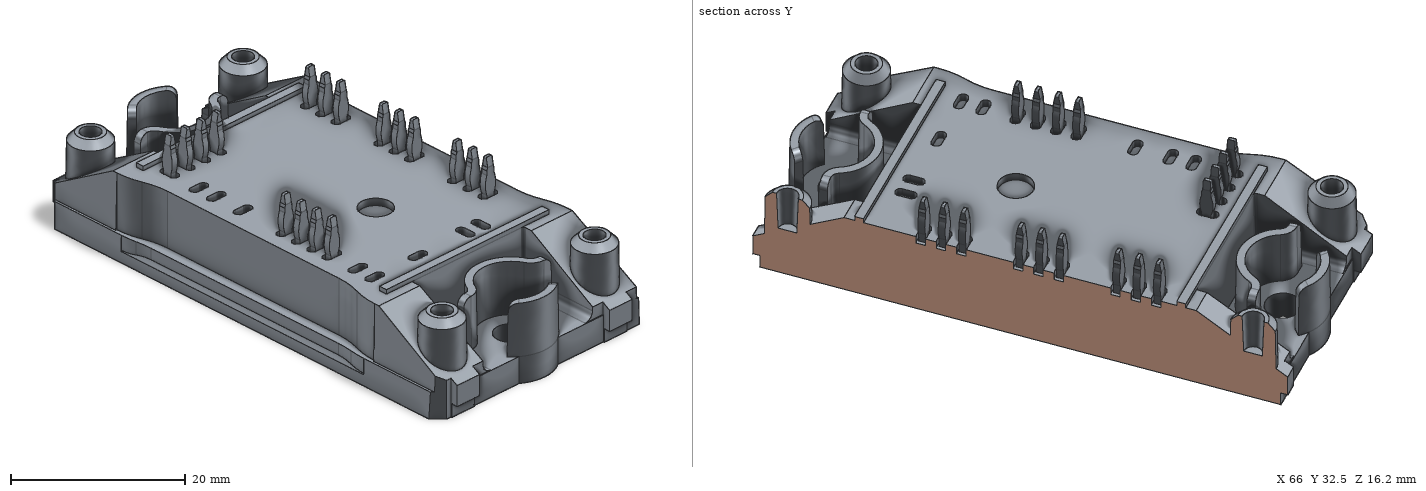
import cadquery as cq
import math

LENGTH = 66.0
WIDTH = 32.5
BASE_HEIGHT = 3.55
BODY_HEIGHT = 11.1
PIN_TIP_HEIGHT = 16.25
CLEAR = 3.3

END_X = 32.0
BASE_TOP_HALF_WIDTH = 16.1
STEP_HALF_WIDTH = 15.8
TOP_HALF_WIDTH = 15.6
CORNER_CHAMFER = 1.45

SLOPE_START_X = 21.7
SLOPE_ANGLE = 30.0
SLOPE_DROP = math.tan(math.radians(SLOPE_ANGLE))

WAIST_END_X = 21.05
WAIST_START_X = 14.0
WAIST_HALF_WIDTH = 14.4
LEDGE_END_X = 19.8
LEDGE_START_X = 15.3
LEDGE_HALF_WIDTH = STEP_HALF_WIDTH
LEDGE_INNER_Z = 2.05
LEDGE_OUTER_Z = 1.4

TAB_Y = 12.3
TAB_WIDTH = 3.6
TAB_BOTTOM_Z = 1.8
TAB_FOOT_PROJECTION = 0.1

BAY_FLOOR_HALF_WIDTH = 8.8
BAY_TOP_HALF_WIDTH = 9.0
BAY_FILLET = 1.2
BAY_SETBACK = 0.1

SLOT_CORNER_RADIUS = 0.3
SLOT_FLOOR_SIDE_TOP_X = 21.85
SLOT_FLOOR_SIDE_BOTTOM_X = 21.6
INNER_WALL_BOTTOM_X = 20.8

MOUNT_X = 27.5
MOUNT_HOLE_DIAMETER = 4.3
PAD_RADIUS = LENGTH / 2 - MOUNT_X

GUARD_THICKNESS = 1.25
GUARD_MEAN_RADIUS = PAD_RADIUS - GUARD_THICKNESS / 2
GUARD_TOP = 10.55
GUARD_DRAFT = 1.0
GUARD_CORNER_RADIUS = 1.2
OUTER_GUARD_HALF_ANGLE = 49.5
TAIL_X = 1.1
TAIL_END_Y = 7.1
TAIL_BEND_RADIUS = 1.65

BOSS_X = 28.7
BOSS_Y = 12.3
BOSS_ROOT_RADIUS = 2.9
BOSS_SHOULDER_RADIUS = 2.8
BOSS_TOP_RADIUS = 1.85
BOSS_TOP = 12.1
BOSS_HOLE_DEPTH = 5.3
BOSS_HOLE_TOP_RADIUS = 1.3
BOSS_HOLE_BOTTOM_RADIUS = 1.1

BAR_X = 19.85
BAR_WIDTH = 1.1
BAR_LENGTH = 26.15
BAR_HEIGHT = 0.6
INNER_WALL_TOP_X = BAR_X + BAR_WIDTH / 2

RECESS_X = 5.4
RECESS_DIAMETER = 4.3
RECESS_DEPTH = 1.0

PITCH = 2.5
POCKET_LENGTH = 2.65
POCKET_WIDTH = 1.25
POCKET_DEPTH = 1.0
PIN_COLUMN_X = -16.75
TOP_ROW_Y = 11.3
BOTTOM_ROW_Y = -11.2
PIN_THICKNESS = 0.85
PIN_ROOT_DEPTH = 0.65
PIN_STEM_WIDTH = 1.2
PIN_BULGE_WIDTH = 1.65
PIN_SHOULDER_WIDTH = 0.9
PIN_TIP_RADIUS = 0.2
PIN_TIP_THICKNESS = 0.4
PIN_BULGE_BOTTOM = 11.35
PIN_BULGE_TOP = 14.0
PIN_NECK_Z = 14.6
PIN_SHOULDER_Z = 15.0


def mirrored_pair(solid):
    """The solid together with its mirror image at the other end of the part."""
    return solid.union(solid.mirror("YZ"))


def waist_tool(start_x, end_x, inner_y, outer_y, bottom_z):
    """Cutter for a waisted +Y side; each end is an S-curve of two equal tangent arcs."""
    mid_x = (start_x + end_x) / 2
    mid_y = (inner_y + outer_y) / 2
    run = end_x - mid_x
    rise = outer_y - mid_y
    radius = (run**2 + rise**2) / (2 * rise)
    far_y = WIDTH / 2 + CLEAR
    return (
        cq.Workplane("XY", origin=(0, 0, bottom_z))
        .moveTo(-end_x, far_y)
        .lineTo(-end_x, outer_y)
        .radiusArc((-mid_x, mid_y), radius)
        .radiusArc((-start_x, inner_y), -radius)
        .lineTo(start_x, inner_y)
        .radiusArc((mid_x, mid_y), -radius)
        .radiusArc((end_x, outer_y), radius)
        .lineTo(end_x, far_y)
        .close()
        .extrude(BODY_HEIGHT + CLEAR - bottom_z)
    )


def make_block():
    """Drafted block with a stepped side wall and chamfered -Y corners."""
    half_section = [
        (WIDTH / 2, 0),
        (BASE_TOP_HALF_WIDTH, BASE_HEIGHT),
        (STEP_HALF_WIDTH, BASE_HEIGHT),
        (TOP_HALF_WIDTH, BODY_HEIGHT),
    ]
    other_half = [(-y, z) for y, z in reversed(half_section)]
    block = (
        cq.Workplane("YZ", origin=(-END_X, 0, 0))
        .polyline(half_section + other_half)
        .close()
        .extrude(2 * END_X)
    )
    corner = (
        cq.Workplane("XY")
        .moveTo(-END_X, -WIDTH / 2)
        .lineTo(-END_X + CORNER_CHAMFER, -WIDTH / 2)
        .lineTo(-END_X, -WIDTH / 2 + CORNER_CHAMFER)
        .close()
        .extrude(BODY_HEIGHT)
    )
    return block.cut(mirrored_pair(corner))


def make_tabs():
    """Tabs standing out from both end faces, each on a flatter foot."""
    foot_length = 2 * (END_X + TAB_FOOT_PROJECTION)
    places = cq.Workplane("XY").pushPoints([(0, TAB_Y), (0, -TAB_Y)])
    feet = places.rect(foot_length, TAB_WIDTH).extrude(TAB_BOTTOM_Z)
    tabs = places.rect(LENGTH, TAB_WIDTH).extrude(BODY_HEIGHT - TAB_BOTTOM_Z)
    return feet.union(tabs.translate((0, 0, TAB_BOTTOM_Z)))


def make_slope_envelope():
    """Side silhouette with both shoulders sloping down from the top face."""
    end_x = LENGTH / 2
    end_z = BODY_HEIGHT - (end_x - SLOPE_START_X) * SLOPE_DROP
    outline = [
        (-end_x, 0),
        (-end_x, end_z),
        (-SLOPE_START_X, BODY_HEIGHT),
        (SLOPE_START_X, BODY_HEIGHT),
        (end_x, end_z),
        (end_x, 0),
    ]
    return cq.Workplane("XZ").polyline(outline).close().extrude(WIDTH / 2, both=True)


def make_side_cutters():
    """Waists of the upper body and the sloping ledges in the base, on both long sides."""
    waist = waist_tool(WAIST_START_X, WAIST_END_X, WAIST_HALF_WIDTH, TOP_HALF_WIDTH, BASE_HEIGHT)
    ledge = waist_tool(LEDGE_START_X, LEDGE_END_X, LEDGE_HALF_WIDTH, BASE_TOP_HALF_WIDTH, 0)
    far_y = WIDTH / 2 + CLEAR
    ledge_slope = (LEDGE_INNER_Z - LEDGE_OUTER_Z) / (WIDTH / 2 - LEDGE_HALF_WIDTH)
    ledge_section = [
        (LEDGE_HALF_WIDTH, LEDGE_INNER_Z),
        (far_y, LEDGE_INNER_Z - (far_y - LEDGE_HALF_WIDTH) * ledge_slope),
        (far_y, BASE_HEIGHT),
        (LEDGE_HALF_WIDTH, BASE_HEIGHT),
    ]
    ledge_zone = cq.Workplane("YZ").polyline(ledge_section).close().extrude(LENGTH / 2, both=True)
    cutters = waist.union(ledge.intersect(ledge_zone))
    return cutters.union(cutters.mirror("XZ"))


def bay_prism(bottom_z, inner_x):
    """Solid between the drafted side walls of the bays, from a height upwards and an end inwards."""
    wall_slope = (BAY_TOP_HALF_WIDTH - BAY_FLOOR_HALF_WIDTH) / (BODY_HEIGHT - BASE_HEIGHT)
    top_z = BODY_HEIGHT + CLEAR
    top_half_width = BAY_FLOOR_HALF_WIDTH + (top_z - BASE_HEIGHT) * wall_slope
    bottom_half_width = BAY_FLOOR_HALF_WIDTH + (bottom_z - BASE_HEIGHT) * wall_slope
    section = [
        (-bottom_half_width, bottom_z),
        (bottom_half_width, bottom_z),
        (top_half_width, top_z),
        (-top_half_width, top_z),
    ]
    return (
        cq.Workplane("YZ", origin=(-LENGTH / 2 - CLEAR, 0, 0))
        .polyline(section)
        .close()
        .extrude(LENGTH / 2 + CLEAR - inner_x)
    )


def make_bay_cutter():
    """Open bay in the -X end with drafted walls and rounded floor edges."""
    bay = bay_prism(BASE_HEIGHT, SLOT_FLOOR_SIDE_BOTTOM_X).edges("|X and <Z").fillet(BAY_FILLET)
    setback_length = CLEAR + BAY_SETBACK
    setback = cq.Workplane("XY").box(
        setback_length, 2 * TAB_Y - TAB_WIDTH, BODY_HEIGHT, centered=(False, True, False)
    )
    return bay.union(setback.translate((-END_X - CLEAR, 0, BASE_HEIGHT)))


def make_slot_cutter():
    """Slot through the bay floor; its long inner face is the drafted inner wall of the bay."""
    outline = [
        (-SLOT_FLOOR_SIDE_BOTTOM_X, 0),
        (-SLOT_FLOOR_SIDE_TOP_X, BASE_HEIGHT),
        (-SLOT_FLOOR_SIDE_TOP_X, BODY_HEIGHT),
        (-INNER_WALL_TOP_X, BODY_HEIGHT),
        (-INNER_WALL_BOTTOM_X, 0),
    ]
    slot = cq.Workplane("XZ").polyline(outline).close().extrude(WIDTH / 2, both=True)
    slot = slot.intersect(bay_prism(0, 0))
    inner_corners = cq.selectors.BoxSelector(
        (-INNER_WALL_BOTTOM_X, -WIDTH, BODY_HEIGHT / 4),
        (-INNER_WALL_TOP_X, WIDTH, 3 * BODY_HEIGHT / 4),
    )
    return slot.edges(inner_corners).fillet(SLOT_CORNER_RADIUS)


def guard_plane():
    """Workplane on the bay floor, centred on the -X mounting hole."""
    return cq.Workplane("XY", origin=(-MOUNT_X, 0, BASE_HEIGHT))


def make_outer_guard():
    """Arc-shaped wall on the end side of the -X mounting hole."""
    angle = math.radians(OUTER_GUARD_HALF_ANGLE)
    inner_radius = PAD_RADIUS - GUARD_THICKNESS

    def on_arc(radius, direction):
        return (-radius * math.cos(direction), radius * math.sin(direction))

    wall = (
        guard_plane()
        .moveTo(*on_arc(PAD_RADIUS, angle))
        .threePointArc((-PAD_RADIUS, 0), on_arc(PAD_RADIUS, -angle))
        .lineTo(*on_arc(inner_radius, -angle))
        .threePointArc((-inner_radius, 0), on_arc(inner_radius, angle))
        .close()
        .extrude(GUARD_TOP - BASE_HEIGHT, taper=GUARD_DRAFT)
    )
    return wall.faces(">Z").edges("%LINE").fillet(GUARD_CORNER_RADIUS)


def make_inner_guard():
    """Wall curving round the inner side of the -X mounting hole, with two straight tails."""
    bend_x = TAIL_X + TAIL_BEND_RADIUS
    bend_reach = GUARD_MEAN_RADIUS + TAIL_BEND_RADIUS
    bend_y = math.sqrt(bend_reach**2 - bend_x**2)
    joint_x = bend_x * GUARD_MEAN_RADIUS / bend_reach
    joint_y = bend_y * GUARD_MEAN_RADIUS / bend_reach
    half = GUARD_THICKNESS / 2
    outer_joint = PAD_RADIUS / GUARD_MEAN_RADIUS
    inner_radius = GUARD_MEAN_RADIUS - half
    inner_joint = inner_radius / GUARD_MEAN_RADIUS
    tight_bend = TAIL_BEND_RADIUS - half
    wide_bend = TAIL_BEND_RADIUS + half
    wall = (
        guard_plane()
        .moveTo(TAIL_X + half, TAIL_END_Y)
        .lineTo(TAIL_X + half, bend_y)
        .radiusArc((joint_x * outer_joint, joint_y * outer_joint), -tight_bend)
        .threePointArc((PAD_RADIUS, 0), (joint_x * outer_joint, -joint_y * outer_joint))
        .radiusArc((TAIL_X + half, -bend_y), -tight_bend)
        .lineTo(TAIL_X + half, -TAIL_END_Y)
        .lineTo(TAIL_X - half, -TAIL_END_Y)
        .lineTo(TAIL_X - half, -bend_y)
        .radiusArc((joint_x * inner_joint, -joint_y * inner_joint), wide_bend)
        .threePointArc((inner_radius, 0), (joint_x * inner_joint, joint_y * inner_joint))
        .radiusArc((TAIL_X - half, bend_y), wide_bend)
        .lineTo(TAIL_X - half, TAIL_END_Y)
        .close()
        .extrude(GUARD_TOP - BASE_HEIGHT, taper=GUARD_DRAFT)
    )
    return wall.faces(">Z").edges("|X").fillet(GUARD_CORNER_RADIUS)


def make_mount():
    """Round base pad and both guards of the -X mounting bay."""
    pad = cq.Workplane("XY").center(-MOUNT_X, 0).circle(PAD_RADIUS).extrude(BASE_HEIGHT)
    return pad.union(make_outer_guard()).union(make_inner_guard())


def make_boss():
    """Tapered boss with a conical top."""
    half_section = [
        (0, BASE_HEIGHT),
        (BOSS_ROOT_RADIUS, BASE_HEIGHT),
        (BOSS_SHOULDER_RADIUS, BODY_HEIGHT),
        (BOSS_TOP_RADIUS, BOSS_TOP),
        (0, BOSS_TOP),
    ]
    return cq.Workplane("XZ").polyline(half_section).close().revolve(360, (0, 0), (0, 1))


def make_boss_hole():
    """Blind tapered screw hole of a boss."""
    bottom_z = BOSS_TOP - BOSS_HOLE_DEPTH
    half_section = [
        (0, bottom_z),
        (BOSS_HOLE_BOTTOM_RADIUS, bottom_z),
        (BOSS_HOLE_TOP_RADIUS, BOSS_TOP),
        (0, BOSS_TOP),
    ]
    return cq.Workplane("XZ").polyline(half_section).close().revolve(360, (0, 0), (0, 1))


def row_of(count, start, step):
    """Equally spaced positions."""
    return [start + index * step for index in range(count)]


def make_pin():
    """Press-fit pin standing at the origin, flat in the XZ plane, with a wedge-shaped tip."""
    stem = PIN_STEM_WIDTH / 2
    bulge = PIN_BULGE_WIDTH / 2
    shoulder = PIN_SHOULDER_WIDTH / 2
    tip = shoulder - PIN_TIP_RADIUS
    bulge_z = (PIN_BULGE_BOTTOM + PIN_BULGE_TOP) / 2
    bottom_z = BODY_HEIGHT - POCKET_DEPTH - PIN_ROOT_DEPTH
    blade = (
        cq.Workplane("XZ")
        .moveTo(-stem, bottom_z)
        .lineTo(-stem, PIN_BULGE_BOTTOM)
        .threePointArc((-bulge, bulge_z), (-stem, PIN_BULGE_TOP))
        .lineTo(-stem, PIN_NECK_Z)
        .lineTo(-shoulder, PIN_SHOULDER_Z)
        .lineTo(-shoulder, PIN_TIP_HEIGHT - PIN_TIP_RADIUS)
        .radiusArc((-tip, PIN_TIP_HEIGHT), PIN_TIP_RADIUS)
        .lineTo(tip, PIN_TIP_HEIGHT)
        .radiusArc((shoulder, PIN_TIP_HEIGHT - PIN_TIP_RADIUS), PIN_TIP_RADIUS)
        .lineTo(shoulder, PIN_SHOULDER_Z)
        .lineTo(stem, PIN_NECK_Z)
        .lineTo(stem, PIN_BULGE_TOP)
        .threePointArc((bulge, bulge_z), (stem, PIN_BULGE_BOTTOM))
        .lineTo(stem, bottom_z)
        .close()
        .extrude(PIN_THICKNESS / 2, both=True)
    )
    edge_outline = [
        (-PIN_THICKNESS / 2, bottom_z),
        (-PIN_THICKNESS / 2, PIN_SHOULDER_Z),
        (-PIN_TIP_THICKNESS / 2, PIN_TIP_HEIGHT),
        (PIN_TIP_THICKNESS / 2, PIN_TIP_HEIGHT),
        (PIN_THICKNESS / 2, PIN_SHOULDER_Z),
        (PIN_THICKNESS / 2, bottom_z),
    ]
    envelope = cq.Workplane("YZ").polyline(edge_outline).close().extrude(PIN_BULGE_WIDTH, both=True)
    return blade.intersect(envelope)


def make_pockets(points, angle):
    """Pocket cutters with round ends, their long side at the given angle to X."""
    return (
        cq.Workplane("XY", origin=(0, 0, BODY_HEIGHT - POCKET_DEPTH))
        .pushPoints(points)
        .slot2D(POCKET_LENGTH, POCKET_WIDTH, angle)
        .extrude(POCKET_DEPTH)
    )


TOP_GROUP_STARTS = (PIN_COLUMN_X, -4.75, 7.25)
top_row = [(x, TOP_ROW_Y) for start in TOP_GROUP_STARTS for x in row_of(3, start, PITCH)]
bottom_row = [(x, BOTTOM_ROW_Y) for x in row_of(4, 2.1, PITCH)]
left_column = [(PIN_COLUMN_X, y) for y in row_of(4, -3.75, -PITCH)]
row_pins = top_row + bottom_row

EMPTY_COLUMN_X = 16.6
empty_y_pockets = [(x, BOTTOM_ROW_Y) for x in (-12.1, -9.25, -4.9, 13.85, EMPTY_COLUMN_X)]
empty_y_pockets.append((EMPTY_COLUMN_X, -4.3))
empty_x_pockets = [(EMPTY_COLUMN_X, y) for y in row_of(2, 3.35, PITCH)]

body = make_block().cut(mirrored_pair(make_bay_cutter()))
body = body.union(make_tabs())
body = body.intersect(make_slope_envelope())
body = body.cut(make_side_cutters())
body = body.cut(mirrored_pair(make_slot_cutter()))
body = body.union(mirrored_pair(make_mount()))
mount_holes = (
    cq.Workplane("XY")
    .pushPoints([(-MOUNT_X, 0), (MOUNT_X, 0)])
    .circle(MOUNT_HOLE_DIAMETER / 2)
    .extrude(BASE_HEIGHT)
)
body = body.cut(mount_holes)
boss = make_boss()
boss_hole = make_boss_hole()
for x in (-BOSS_X, BOSS_X):
    for y in (-BOSS_Y, BOSS_Y):
        body = body.union(boss.translate((x, y, 0))).cut(boss_hole.translate((x, y, 0)))

bars = (
    cq.Workplane("XY", origin=(0, 0, BODY_HEIGHT))
    .pushPoints([(-BAR_X, 0), (BAR_X, 0)])
    .rect(BAR_WIDTH, BAR_LENGTH)
    .extrude(BAR_HEIGHT)
)
recess = (
    cq.Workplane("XY", origin=(RECESS_X, 0, BODY_HEIGHT - RECESS_DEPTH))
    .circle(RECESS_DIAMETER / 2)
    .extrude(RECESS_DEPTH)
)
body = body.union(bars).cut(recess)
body = body.cut(make_pockets(row_pins + empty_y_pockets, 90))
body = body.cut(make_pockets(left_column + empty_x_pockets, 0))

pin_along_x = make_pin()
pin_along_y = pin_along_x.rotate((0, 0, 0), (0, 0, 1), 90)
for x, y in left_column:
    body = body.union(pin_along_x.translate((x, y, 0)))
for x, y in row_pins:
    body = body.union(pin_along_y.translate((x, y, 0)))

result = body